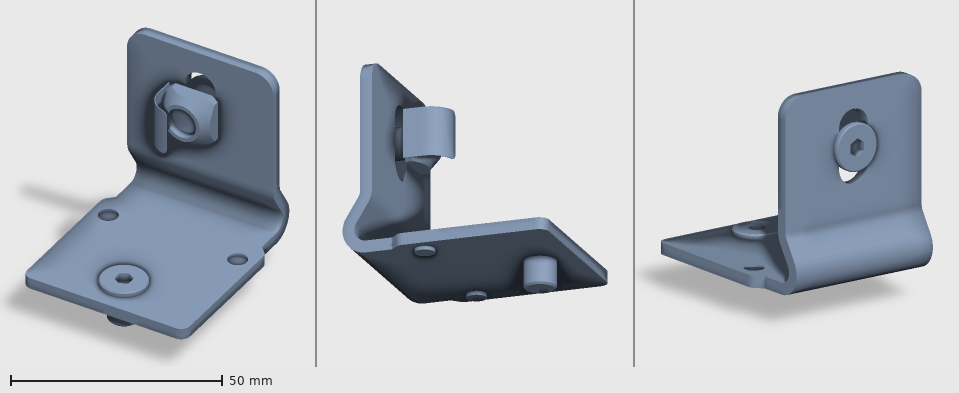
import cadquery as cq
import math


sheet = 3.0
total_depth = 51.95
bracket_height = 48.35
base_width = 45.0
upright_width = 40.35
base_corner_radius = 2.5
upright_corner_radius = 5.0
shoulder_y = 37.1
shoulder_relief_radius = 0.55

bend_inner = sheet
bend_outer = bend_inner + sheet
bend_middle = (bend_inner + bend_outer) / 2
web_tilt = math.radians(32.0)
upright_back_y = 47.55
upright_front_y = upright_back_y - sheet
lower_bend_y = total_depth - bend_outer
lower_bend_z = bend_outer
upper_bend_y = upright_back_y + bend_inner
upper_bend_z = lower_bend_z + (
    2 * bend_middle - (upper_bend_y - lower_bend_y) * math.cos(web_tilt)
) / math.sin(web_tilt)

dimple_diameter = 5.0
dimple_depth = 1.0
dimple_x = 17.85
dimple_y = 32.05

shank_diameter = 8.0
shank_length = 9.9
shank_chamfer = 0.5
head_diameter = 12.0
head_height = 1.5
head_chamfer = 0.35
hex_across_flats = 4.0
hex_depth = 2.2
base_screw_y = 9.5
fastener_z = 33.4

slot_length = 18.6
slot_width = 8.5

nut_back_y = 41.55
nut_front_y = 35.9
nut_width = 13.4
nut_height = 13.05
nut_chamfer_x = 1.7
nut_chamfer_z = 1.25
cone_front_radius = 5.05
cone_slope = math.radians(50.0)
leaf_thickness = 0.2
leaf_height = 12.2
leaf_radius = 6.1
leaf_curl_y = 36.65
leaf_corner_radius = 1.5


def arc_point(center, radius, angle):
    """Point on a circle, angle measured from the first axis."""
    return (center[0] + radius * math.cos(angle), center[1] + radius * math.sin(angle))


def side_profile():
    """Closed section of the bent sheet, in Y and Z."""
    lower = (lower_bend_y, lower_bend_z)
    upper = (upper_bend_y, upper_bend_z)
    lower_mid = (web_tilt - math.pi / 2) / 2
    upper_start = math.pi + web_tilt
    upper_mid = math.pi + web_tilt / 2
    return (
        cq.Workplane("YZ")
        .moveTo(0, 0)
        .lineTo(lower_bend_y, 0)
        .threePointArc(arc_point(lower, bend_outer, lower_mid), arc_point(lower, bend_outer, web_tilt))
        .lineTo(*arc_point(upper, bend_inner, upper_start))
        .threePointArc(arc_point(upper, bend_inner, upper_mid), (upright_back_y, upper_bend_z))
        .lineTo(upright_back_y, bracket_height)
        .lineTo(upright_front_y, bracket_height)
        .lineTo(upright_front_y, upper_bend_z)
        .threePointArc(arc_point(upper, bend_outer, upper_mid), arc_point(upper, bend_outer, upper_start))
        .lineTo(*arc_point(lower, bend_inner, web_tilt))
        .threePointArc(arc_point(lower, bend_inner, lower_mid), (lower_bend_y, sheet))
        .lineTo(0, sheet)
        .close()
    )


def plan_envelope():
    """Vertical prism of the bracket's plan outline, with 45 degree shoulders."""
    wide = base_width / 2
    narrow = upright_width / 2
    neck_y = shoulder_y + wide - narrow
    outline = [
        (-wide, 0), (wide, 0), (wide, shoulder_y), (narrow, neck_y),
        (narrow, total_depth), (-narrow, total_depth), (-narrow, neck_y), (-wide, shoulder_y),
    ]
    prism = cq.Workplane("XY").polyline(outline).close().extrude(bracket_height)
    middle_y = (shoulder_y + neck_y) / 2
    front_part = cq.selectors.BoxSelector((-wide - 0.55, -0.55, 0), (wide + 0.55, middle_y, bracket_height))
    neck_part = cq.selectors.BoxSelector(
        (-wide - 0.55, middle_y, 0), (wide + 0.55, neck_y + 0.55, bracket_height)
    )
    prism = prism.edges("|Z").edges(front_part).fillet(base_corner_radius)
    return prism.edges("|Z").edges(neck_part).fillet(shoulder_relief_radius)


def make_bracket():
    body = side_profile().extrude(base_width / 2, both=True).intersect(plan_envelope())
    body = body.faces(">Z").edges("|Y").fillet(upright_corner_radius)

    slot = (
        cq.Workplane("XZ", origin=(0, upright_back_y, fastener_z))
        .slot2D(slot_length, slot_width, 90)
        .extrude(sheet)
    )
    screw_hole = cq.Workplane("XY").center(0, base_screw_y).circle(shank_diameter / 2).extrude(sheet)
    body = body.cut(slot).cut(screw_hole)

    dimples = cq.Workplane("XY").pushPoints([(-dimple_x, dimple_y), (dimple_x, dimple_y)])
    dimples = dimples.circle(dimple_diameter / 2).extrude(dimple_depth)
    body = body.cut(dimples.translate((0, 0, sheet - dimple_depth)))
    return body.union(dimples.translate((0, 0, -dimple_depth)))


def make_screw():
    """Low-head socket screw pointing down, underside of its head at the origin."""
    head = cq.Workplane("XY").circle(head_diameter / 2).extrude(head_height)
    head = head.faces(">Z").edges().chamfer(head_chamfer)
    shank = cq.Workplane("XY").circle(shank_diameter / 2).extrude(-shank_length)
    shank = shank.faces("<Z").edges().chamfer(shank_chamfer)
    socket = (
        cq.Workplane("XY", origin=(0, 0, head_height))
        .transformed(rotate=(0, 0, 90))
        .polygon(6, hex_across_flats / math.cos(math.pi / 6))
        .extrude(-hex_depth)
    )
    return head.union(shank).cut(socket)


def make_nut_block():
    """Block with chamfered corners, its front turned to a cone."""
    half_x = nut_width / 2
    half_z = nut_height / 2
    flat_x = half_x - nut_chamfer_x
    flat_z = half_z - nut_chamfer_z
    outline = [
        (half_x, flat_z), (flat_x, half_z), (-flat_x, half_z), (-half_x, flat_z),
        (-half_x, -flat_z), (-flat_x, -half_z), (flat_x, -half_z), (half_x, -flat_z),
    ]
    thickness = nut_back_y - nut_front_y
    block = cq.Workplane("XZ", origin=(0, nut_back_y, fastener_z)).polyline(outline).close()
    block = block.extrude(thickness)
    cone_back_radius = cone_front_radius + thickness / math.tan(cone_slope)
    cone = cq.Workplane(
        cq.Solid.makeCone(
            cone_front_radius, cone_back_radius, thickness,
            cq.Vector(0, nut_front_y, fastener_z), cq.Vector(0, 1, 0),
        )
    )
    return block.intersect(cone)


def make_spring_leaf():
    """Thin strip on the nut's -X side that curls under the front of the nut."""
    outer_x = -nut_width / 2 - leaf_thickness
    inner_x = outer_x + leaf_thickness
    center = (outer_x + leaf_radius, leaf_curl_y)
    inner_radius = leaf_radius - leaf_thickness
    mid_angle = math.radians(225)
    leaf = (
        cq.Workplane("XY", origin=(0, 0, fastener_z))
        .moveTo(outer_x, nut_back_y)
        .lineTo(outer_x, leaf_curl_y)
        .threePointArc(arc_point(center, leaf_radius, mid_angle), (center[0], leaf_curl_y - leaf_radius))
        .lineTo(center[0], leaf_curl_y - inner_radius)
        .threePointArc(arc_point(center, inner_radius, mid_angle), (inner_x, leaf_curl_y))
        .lineTo(inner_x, nut_back_y)
        .close()
        .extrude(leaf_height / 2, both=True)
    )
    return leaf.faces(">X").edges("|Y").fillet(leaf_corner_radius)


def make_nut():
    bore = (
        cq.Workplane("XZ", origin=(0, nut_back_y, fastener_z))
        .circle(shank_diameter / 2)
        .extrude(nut_back_y - nut_front_y)
    )
    return make_nut_block().union(make_spring_leaf()).cut(bore)


bracket = make_bracket()
nut = make_nut()

screw_places = [
    (0, (0, base_screw_y, sheet)),
    (-90, (0, upright_back_y, fastener_z)),
]
screws = []
for turn, seat in screw_places:
    screw = make_screw().rotate((0, 0, 0), (1, 0, 0), turn).translate(seat)
    screws.append(screw.val())

result = cq.Compound.makeCompound([bracket.val(), nut.val(), *screws])